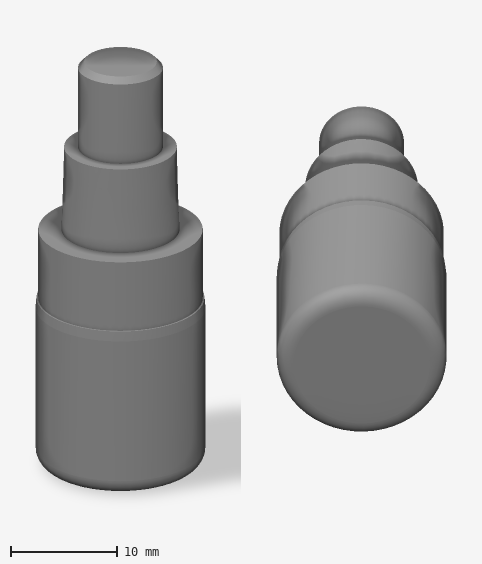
import cadquery as cq

sleeve_radius = 8.0
sleeve_height = 16.95
floor_edge_radius = 1.55
rim_height = 1.0
rim_radius = 7.9

body_radius = 7.75
body_top = 24.0
neck_base_radius = 5.55
neck_top_radius = 5.32
neck_top = 32.5
stem_radius = 4.0
stem_top = 41.25
stem_chamfer = 0.58

bore_floor = floor_edge_radius


def make_sleeve():
    """Cup whose outer wall tapers in slightly to a narrow flat lip at its mouth."""
    rim_base = sleeve_height - rim_height
    profile = (
        cq.Workplane("XZ")
        .lineTo(sleeve_radius, 0)
        .lineTo(sleeve_radius, rim_base)
        .lineTo(rim_radius, sleeve_height)
        .lineTo(body_radius, sleeve_height)
        .lineTo(body_radius, bore_floor)
        .lineTo(0, bore_floor)
        .close()
    )
    cup = profile.revolve(360, (0, 0, 0), (0, 1, 0))
    return cup.faces("<Z").edges().fillet(floor_edge_radius)


def make_plunger():
    """Cylindrical body, tapered neck and chamfered stem on one axis."""
    profile = (
        cq.Workplane("XZ")
        .moveTo(0, bore_floor)
        .lineTo(body_radius, bore_floor)
        .lineTo(body_radius, body_top)
        .lineTo(neck_base_radius, body_top)
        .lineTo(neck_top_radius, neck_top)
        .lineTo(stem_radius, neck_top)
        .lineTo(stem_radius, stem_top)
        .lineTo(0, stem_top)
        .close()
    )
    turned = profile.revolve(360, (0, 0, 0), (0, 1, 0))
    return turned.faces(">Z").edges().chamfer(stem_chamfer)


sleeve = make_sleeve()
plunger = make_plunger()

result = cq.Compound.makeCompound([sleeve.val(), plunger.val()])